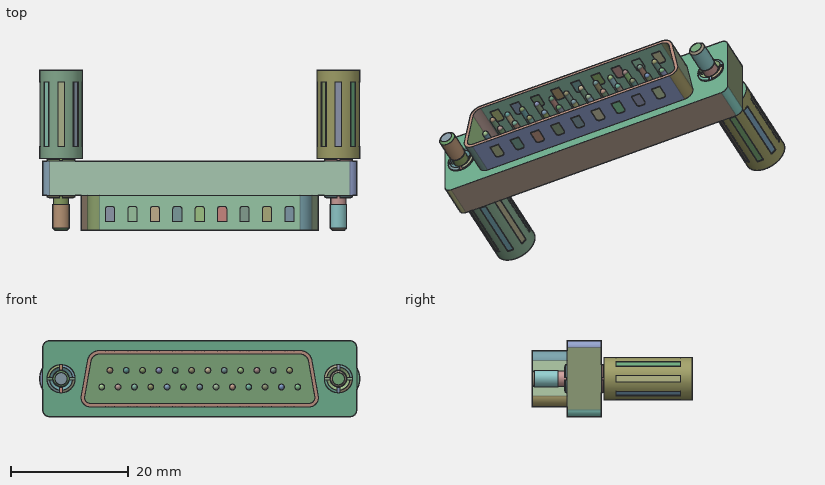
import cadquery as cq
import math


PLATE_WIDTH = 53.3
PLATE_HEIGHT = 12.9
PLATE_DEPTH = 5.8
PLATE_CORNER_RADIUS = 1.2

OVERALL_WIDTH = 54.3
KNOB_RADIUS = 3.65
KNOB_LENGTH = 15.0
SCREW_X = OVERALL_WIDTH / 2 - KNOB_RADIUS
THREAD_RADIUS = 1.4
NECK_RADIUS = 1.3
NECK_REACH = 1.5
TIP_CHAMFER = 0.4
GROOVE_COUNT = 8
GROOVE_WIDTH = 1.1
GROOVE_DEPTH = 0.2
GROOVE_LENGTH = 10.95

COLLAR_RADIUS = 2.4
COLLAR_CREST_RADIUS = 1.95
COLLAR_RIM = 0.25
COLLAR_HEIGHT = 0.45
COLLAR_SLOT_WIDTH = 0.5
COLLAR_SLOT_DEPTH = 0.3

SHELL_LENGTH = 5.9
SHELL_HEIGHT = 9.55
SHELL_MID_WIDTH = 39.15
SHELL_SIDE_ANGLE = 10.0
SHELL_WALL = 0.6
FLOOR_Y = 1.1
FLOOR_THICKNESS = SHELL_WALL
CONNECTOR_BACK_Y = FLOOR_Y + FLOOR_THICKNESS
SHELL_TOP_RADIUS = 2.05
SHELL_BOTTOM_RADIUS = 1.6

DIMPLE_COUNT = 9
DIMPLE_PITCH = 3.8
DIMPLE_WIDTH = 1.6
DIMPLE_LENGTH = 2.55
DIMPLE_CORNER_RADIUS = 0.5
DIMPLE_DEPTH = 0.135
DIMPLE_FRONT_MARGIN = 1.5

PIN_RADIUS = 0.5
PIN_TIP_Y = -5.3
PIN_PITCH = 2.75
PIN_ROW_Z = 1.4
UPPER_PIN_COUNT = 12
LOWER_PIN_COUNT = 13


def centered_positions(count, pitch):
    return [(i - (count - 1) / 2) * pitch for i in range(count)]


def revolve_about_y(profile):
    """Solid of revolution about Y from a list of (radius, y) points."""
    return cq.Workplane("XY").polyline(profile).close().revolve(360, (0, 0, 0), (0, 1, 0))


def make_collar():
    """Collar standing forward of Y = 0, conical inside and out, with a cross of slots in its crest."""
    collar = revolve_about_y([
        (NECK_RADIUS, 0),
        (COLLAR_RADIUS, 0),
        (COLLAR_RADIUS, -COLLAR_RIM),
        (COLLAR_CREST_RADIUS, -COLLAR_HEIGHT),
    ])
    slot = cq.Workplane("XY").box(2 * COLLAR_RADIUS, 2 * COLLAR_SLOT_DEPTH, COLLAR_SLOT_WIDTH)
    slot = slot.translate((0, -COLLAR_HEIGHT, 0))
    return collar.cut(slot).cut(slot.rotate((0, 0, 0), (0, 1, 0), 90))


def make_housing():
    housing = (
        cq.Workplane("XY")
        .box(PLATE_WIDTH, PLATE_DEPTH, PLATE_HEIGHT)
        .edges("|Y")
        .fillet(PLATE_CORNER_RADIUS)
        .translate((0, PLATE_DEPTH / 2, 0))
    )
    housing = housing.cut(d_prism(0, 0, CONNECTOR_BACK_Y))
    bore = revolve_about_y([(0, 0), (NECK_RADIUS, 0), (NECK_RADIUS, PLATE_DEPTH), (0, PLATE_DEPTH)])
    front_collar = make_collar()
    rear_collar = front_collar.mirror("XZ").translate((0, PLATE_DEPTH, 0))
    for x in (-SCREW_X, SCREW_X):
        housing = housing.cut(bore.translate((x, 0, 0)))
        housing = housing.union(front_collar.translate((x, 0, 0)))
        housing = housing.union(rear_collar.translate((x, 0, 0)))
    return housing


def d_prism(inset, y_front, y_back):
    """D-shaped prism between two Y positions, the shell outline moved inward by `inset`."""
    angle = math.radians(SHELL_SIDE_ANGLE)
    slope = math.tan(angle)
    half_height = SHELL_HEIGHT / 2 - inset
    half_mid = SHELL_MID_WIDTH / 2 - inset / math.cos(angle)
    top = half_mid - half_height * slope
    bottom = half_mid + half_height * slope
    corners = [
        (-top, half_height),
        (top, half_height),
        (bottom, -half_height),
        (-bottom, -half_height),
    ]
    prism = (
        cq.Workplane("XZ", origin=(0, y_back, 0))
        .polyline(corners)
        .close()
        .extrude(y_back - y_front)
    )
    prism = prism.edges("|Y").edges(">Z").fillet(SHELL_TOP_RADIUS - inset)
    return prism.edges("|Y").edges("<Z").fillet(SHELL_BOTTOM_RADIUS - inset)


def make_dimple(x, z):
    y_front = -SHELL_LENGTH + DIMPLE_FRONT_MARGIN
    return (
        cq.Workplane("XY")
        .box(DIMPLE_WIDTH, DIMPLE_LENGTH, 2 * DIMPLE_DEPTH)
        .edges("|Z and >Y")
        .fillet(DIMPLE_CORNER_RADIUS)
        .translate((x, y_front + DIMPLE_LENGTH / 2, z))
    )


def make_pin():
    """Round pin standing on the connector floor, with a hemispherical tip."""
    shoulder_y = PIN_TIP_Y + PIN_RADIUS
    arc_offset = PIN_RADIUS * math.sqrt(0.5)
    return (
        cq.Workplane("XY")
        .moveTo(0, FLOOR_Y)
        .lineTo(PIN_RADIUS, FLOOR_Y)
        .lineTo(PIN_RADIUS, shoulder_y)
        .threePointArc((arc_offset, shoulder_y - arc_offset), (0, PIN_TIP_Y))
        .close()
        .revolve(360, (0, 0, 0), (0, 1, 0))
    )


def make_connector():
    connector = d_prism(0, -SHELL_LENGTH, CONNECTOR_BACK_Y)
    connector = connector.cut(d_prism(SHELL_WALL, -SHELL_LENGTH, FLOOR_Y))
    outer = SHELL_HEIGHT / 2
    inner = outer - SHELL_WALL
    for x in centered_positions(DIMPLE_COUNT, DIMPLE_PITCH):
        for z in (outer, inner, -inner, -outer):
            connector = connector.cut(make_dimple(x, z))
    pin = make_pin()
    for count, z in ((UPPER_PIN_COUNT, PIN_ROW_Z), (LOWER_PIN_COUNT, -PIN_ROW_Z)):
        for x in centered_positions(count, PIN_PITCH):
            connector = connector.union(pin.translate((x, 0, z)))
    return connector


def make_thumbscrew(x):
    knob_start = PLATE_DEPTH + COLLAR_HEIGHT
    knob_end = knob_start + KNOB_LENGTH
    screw = revolve_about_y([
        (0, -SHELL_LENGTH),
        (THREAD_RADIUS - TIP_CHAMFER, -SHELL_LENGTH),
        (THREAD_RADIUS, -SHELL_LENGTH + TIP_CHAMFER),
        (THREAD_RADIUS, -NECK_REACH),
        (NECK_RADIUS, -NECK_REACH),
        (NECK_RADIUS, knob_start),
        (KNOB_RADIUS, knob_start),
        (KNOB_RADIUS, knob_end),
        (0, knob_end),
    ])
    groove = cq.Workplane("XY").box(GROOVE_WIDTH, GROOVE_LENGTH, 2 * GROOVE_DEPTH)
    groove = groove.translate((0, (knob_start + knob_end) / 2, KNOB_RADIUS))
    for i in range(GROOVE_COUNT):
        screw = screw.cut(groove.rotate((0, 0, 0), (0, 1, 0), i * 360 / GROOVE_COUNT))
    return screw.translate((x, 0, 0))


housing = make_housing()
connector = make_connector()
thumbscrews = [make_thumbscrew(x).val() for x in (-SCREW_X, SCREW_X)]

result = cq.Compound.makeCompound([housing.val(), connector.val(), *thumbscrews])